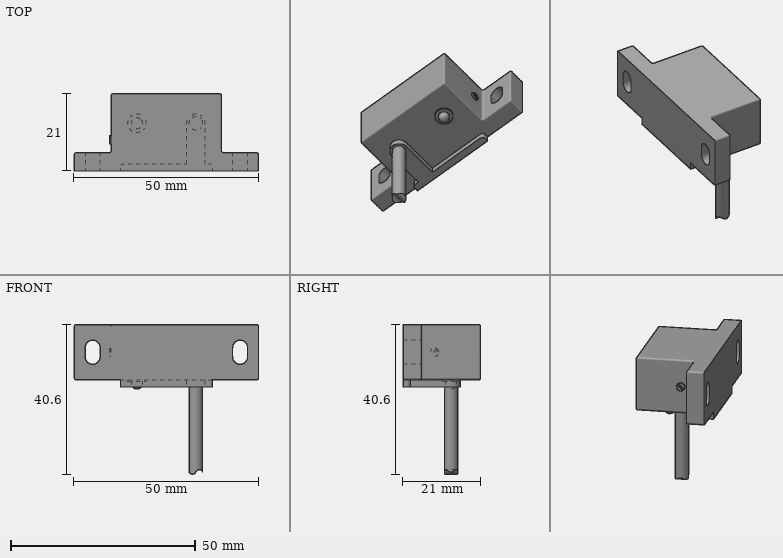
import cadquery as cq
import math

flange_width = 50.0
flange_thickness = 5.0
body_width = 30.0
body_depth = 21.0
body_height = 15.0
edge_radius = 0.5

slot_spacing = 40.0
slot_width = 4.0
slot_length = 6.5

underside_drop = 2.0
lip_width = 25.0
lip_thickness = 2.0
lip_corner_radius = 1.0
support_width = 5.0

cable_x = 8.0
cable_y = 13.0
cable_diameter = 3.7
cable_length = 25.0
break_wave_radius = 1.0

lamp_x = -cable_x
lamp_y = cable_y
lamp_diameter = 3.0
lamp_dome_z = -1.0
lamp_collar_diameter = 5.0
lamp_collar_height = 0.5

screw_diameter = 2.3
screw_protrusion = 0.5
screw_y = 8.5
screw_slot_width = 0.5
screw_slot_depth = 0.3
screw_slot_angle = 45.0

mid_height = body_height / 2


def make_housing():
    flange = cq.Workplane("XY").box(
        flange_width, flange_thickness, body_height, centered=(True, False, False)
    )
    body = cq.Workplane("XY").box(
        body_width, body_depth, body_height, centered=(True, False, False)
    )
    housing = flange.union(body).clean()
    return housing.edges("not(<Y)").fillet(edge_radius)


def make_mounting_slots():
    return (
        cq.Workplane("XZ")
        .pushPoints([(side * slot_spacing / 2, mid_height) for side in (-1, 1)])
        .slot2D(slot_length, slot_width, angle=90)
        .extrude(-flange_thickness)
    )


def make_lip():
    return (
        cq.Workplane("XY", origin=(0, lip_thickness / 2, -underside_drop))
        .rect(lip_width, lip_thickness)
        .extrude(underside_drop + edge_radius)
        .edges("|Z and >Y")
        .fillet(lip_corner_radius)
    )


def make_cable_support():
    rib_length = cable_y - lip_thickness / 2
    height = underside_drop + edge_radius
    base = cq.Workplane("XY", origin=(cable_x, cable_y, -underside_drop))
    rib = base.center(0, -rib_length / 2).rect(support_width, rib_length).extrude(height)
    round_end = base.circle(support_width / 2).extrude(height)
    return rib.union(round_end)


def make_cable():
    radius = cable_diameter / 2
    end_z = -cable_length
    half_chord = radius / 2
    bulge = break_wave_radius - math.sqrt(break_wave_radius**2 - half_chord**2)
    profile = (
        cq.Workplane("XZ", origin=(cable_x, cable_y + radius, 0))
        .moveTo(-radius, 0)
        .lineTo(-radius, end_z)
        .threePointArc((-half_chord, end_z - bulge), (0, end_z))
        .threePointArc((half_chord, end_z + bulge), (radius, end_z))
        .lineTo(radius, 0)
        .close()
        .extrude(cable_diameter)
    )
    rod = (
        cq.Workplane("XY", origin=(cable_x, cable_y, 0))
        .circle(radius)
        .extrude(end_z - break_wave_radius)
    )
    return rod.intersect(profile)


def make_lamp():
    base = cq.Workplane("XY", origin=(lamp_x, lamp_y, 0))
    collar = base.circle(lamp_collar_diameter / 2).extrude(-lamp_collar_height)
    stem = base.circle(lamp_diameter / 2).extrude(lamp_dome_z)
    dome = base.workplane(offset=lamp_dome_z).sphere(lamp_diameter / 2)
    return collar.union(stem).union(dome)


def make_screw():
    face = cq.Plane(
        origin=(-body_width / 2, screw_y, mid_height), xDir=(0, -1, 0), normal=(-1, 0, 0)
    )
    head = cq.Workplane(face).circle(screw_diameter / 2).extrude(screw_protrusion)
    slot = (
        cq.Workplane(face)
        .workplane(offset=screw_protrusion - screw_slot_depth)
        .transformed(rotate=(0, 0, -screw_slot_angle))
        .rect(2 * screw_diameter, screw_slot_width)
        .extrude(screw_slot_depth)
    )
    return head.cut(slot)


result = (
    make_housing()
    .cut(make_mounting_slots())
    .union(make_lip())
    .union(make_cable_support())
    .union(make_cable())
    .union(make_lamp())
    .union(make_screw())
)